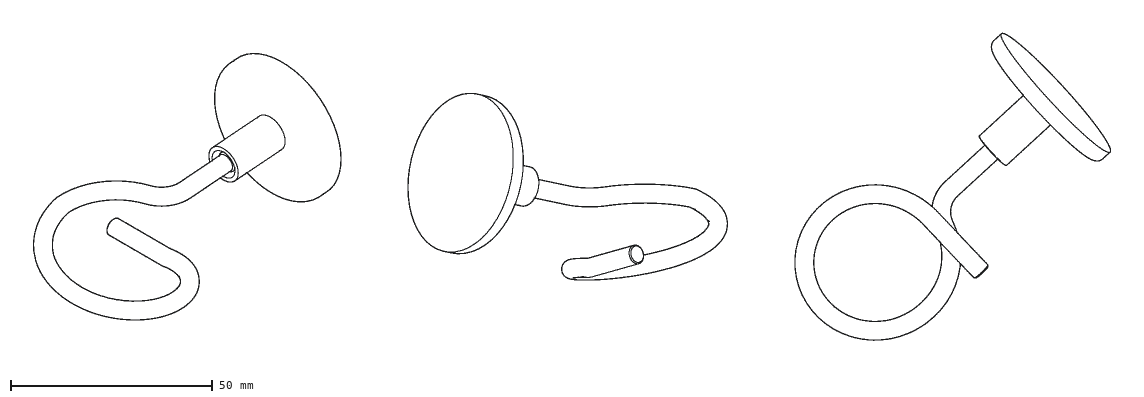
import cadquery as cq
import math


disc_diameter = 40.0
disc_thickness = 4.3
disc_edge_radius = 1.8

sleeve_diameter = 10.0
sleeve_length = 17.1
countersink_diameter = 7.7
countersink_depth = 1.3

wire_diameter = 4.7625
ring_outer_diameter = 41.275
overall_depth = 81.12
bend_radius = 7.94
coil_drop = 17.4
coil_turns = 0.75
tip_chamfer = 0.3
root_diameter = 5.5
root_taper_length = 0.6

wire_radius = wire_diameter / 2
ring_radius = (ring_outer_diameter - wire_diameter) / 2
ring_center_y = -(overall_depth - ring_outer_diameter / 2)
sleeve_front_y = -(disc_thickness + sleeve_length)
wire_start_y = -disc_thickness
root_radius = root_diameter / 2
root_step = root_radius - wire_radius
root_length = sleeve_length - countersink_depth + root_taper_length

bend_start_y = ring_center_y + math.sqrt(ring_radius**2 + 2 * ring_radius * bend_radius)
bend_center = (-bend_radius, bend_start_y)
bend_end_angle = math.atan2(ring_center_y - bend_start_y, bend_radius)
ring_entry_angle = bend_end_angle + math.pi
coil_start_angle = math.pi


def point_on_circle(center, radius, angle):
    return (center[0] + radius * math.cos(angle), center[1] + radius * math.sin(angle))


def make_disc():
    disc = cq.Workplane("XZ").circle(disc_diameter / 2).extrude(disc_thickness)
    return disc.faces("<Y").edges().fillet(disc_edge_radius)


def make_sleeve():
    base = cq.Workplane("XZ", origin=(0, -disc_thickness, 0))
    sleeve = base.circle(sleeve_diameter / 2).circle(root_radius).extrude(sleeve_length)
    countersink = cq.Solid.makeCone(
        countersink_diameter / 2,
        root_radius,
        countersink_depth,
        pnt=cq.Vector(0, sleeve_front_y, 0),
        dir=cq.Vector(0, 1, 0),
    )
    return sleeve.cut(cq.Workplane(countersink))


def make_root():
    """Thicker end of the wire, filling the sleeve bore and tapering off inside the countersink."""
    root = cq.Workplane("XZ", origin=(0, wire_start_y, 0)).circle(root_radius).extrude(root_length)
    return root.faces("<Y").edges().chamfer(root_taper_length, root_step)


def make_flat_wire():
    """Shank, bend and first stretch of the ring, all in the plane Z = 0."""
    ring_center = (0, ring_center_y)
    bend_mid = point_on_circle(bend_center, bend_radius, bend_end_angle / 2)
    bend_end = point_on_circle(bend_center, bend_radius, bend_end_angle)
    ring_mid = point_on_circle(ring_center, ring_radius, (ring_entry_angle + coil_start_angle) / 2)
    ring_end = point_on_circle(ring_center, ring_radius, coil_start_angle)
    path = (
        cq.Workplane("XY")
        .moveTo(0, wire_start_y)
        .lineTo(0, bend_start_y)
        .threePointArc(bend_mid, bend_end)
        .threePointArc(ring_mid, ring_end)
    )
    return cq.Workplane("XZ", origin=(0, wire_start_y, 0)).circle(wire_radius).sweep(path)


def make_coil():
    """Three-quarter helical turn that drops from the ring's left side to its rear."""
    pitch = coil_drop / coil_turns
    helix = cq.Wire.makeHelix(pitch, coil_drop, ring_radius, lefthand=True)
    start_direction = cq.Vector(0, -2 * math.pi * ring_radius, pitch)
    start_plane = cq.Plane(origin=(ring_radius, 0, 0), xDir=(1, 0, 0), normal=start_direction)
    section = cq.Workplane(start_plane).circle(wire_radius)
    coil = section.sweep(cq.Workplane(helix), isFrenet=True)
    return coil.rotate((0, 0, 0), (0, 0, 1), 90).translate((0, ring_center_y, -coil_drop))


def make_tip():
    """Straight free end, running toward -X from the rear of the ring."""
    tip = (
        cq.Workplane("YZ", origin=(0, ring_center_y + ring_radius, -coil_drop))
        .circle(wire_radius)
        .extrude(-ring_radius)
    )
    return tip.faces("<X").edges().chamfer(tip_chamfer)


def make_knuckle(x, y, z):
    """Ball that rounds the outside of a kink in the wire."""
    return cq.Workplane("XY", origin=(x, y, z)).sphere(wire_radius)


def make_wire():
    upper_knuckle = make_knuckle(-ring_radius, ring_center_y, 0)
    lower_knuckle = make_knuckle(0, ring_center_y + ring_radius, -coil_drop)
    wire = make_flat_wire()
    for piece in (make_root(), make_coil(), upper_knuckle, lower_knuckle, make_tip()):
        wire = wire.union(piece, clean=False)
    return wire


disc = make_disc()
sleeve = make_sleeve()
bridle_ring = make_wire()

result = cq.Compound.makeCompound([disc.solids().val(), sleeve.solids().val(), bridle_ring.solids().val()])